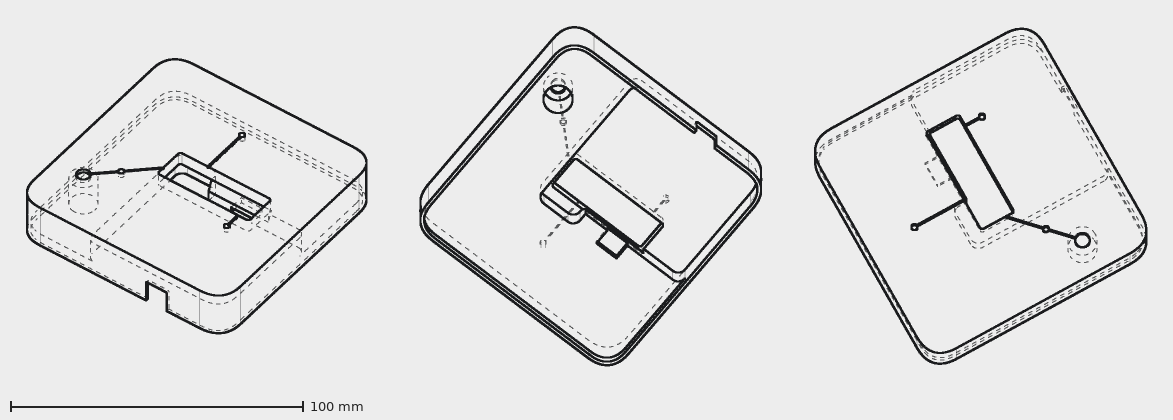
import cadquery as cq
import math

SIDE = 88.0
HEIGHT = 18.0
CORNER_REACH = 10.0
CORNER_HANDLE_RATIO = 0.66
WALL = 1.25
INNER_SIDE = SIDE - 2 * WALL
INNER_EDGE = INNER_SIDE / 2
INNER_REACH = CORNER_REACH - WALL

WINDOW_LEFT = -12.0
WINDOW_RIGHT = 27.0
WINDOW_WIDTH = 13.0
WINDOW_BACK = WINDOW_WIDTH / 2
WINDOW_CORNER_RADIUS = 0.95

COVER_RECESS_DEPTH = 4.0
SHELF_UNDERSIDE = 6.4
CAVITY_CEILING = 12.7
CAVITY_CORNER_RADIUS = 3.0
CAVITY_LEFT = -15.0
CAVITY_BACK = 10.7

SHELF_LEFT = 1.5
RAMP_RUN = 1.8
SHELF_FRONT = WINDOW_BACK - RAMP_RUN
RAMP_FOOT = 8.6

NOTCH_CENTER_X = 15.5
NOTCH_WIDTH = 8.8
NOTCH_LEFT = NOTCH_CENTER_X - NOTCH_WIDTH / 2
NOTCH_RIGHT = NOTCH_LEFT + NOTCH_WIDTH
NOTCH_HEIGHT = 8.8
NOTCH_CORNER_RADIUS = 0.5

PINHOLE_DIAMETER = 2.1
PINHOLE_DEPTH = 2.0
DRILL_POINT_ANGLE = 118.0
PINHOLE_TIP_DEPTH = PINHOLE_DIAMETER / 2 / math.tan(math.radians(DRILL_POINT_ANGLE / 2))
PINHOLE_CIRCLE_RADIUS = 26.0
BACK_PINHOLE, LEFT_PINHOLE, RIGHT_PINHOLE = [
    (
        PINHOLE_CIRCLE_RADIUS * math.cos(math.radians(angle)),
        PINHOLE_CIRCLE_RADIUS * math.sin(math.radians(angle)),
    )
    for angle in (90, 210, 330)
]

HOLE_CENTER = (-32.0, -22.0)
HOLE_DIAMETER = 5.0
COUNTERBORE_DIAMETER = 10.0
HOLE_ROOF = 1.5

GROOVE_WIDTH = 0.4
GROOVE_DEPTH = 0.5


def box(x_min, x_max, y_min, y_max, z_min, z_max):
    """Axis-aligned block between the given limits."""
    size = (x_max - x_min, y_max - y_min, z_max - z_min)
    return cq.Workplane("XY").box(*size, centered=False).translate((x_min, y_min, z_min))


def make_rounded_square(side, reach, height):
    """Square plate centred on the Z axis, with a curve spanning `reach` along both sides of each corner."""
    edge = side / 2
    straight_end = edge - reach
    handle_end = straight_end + reach * CORNER_HANDLE_RATIO
    corner = [
        (edge, straight_end),
        (edge, handle_end),
        (handle_end, edge),
        (straight_end, edge),
    ]
    outline = cq.Workplane("XY").moveTo(edge, -straight_end)
    for _ in range(4):
        outline = outline.lineTo(*corner[0]).bezier(corner[1:], includeCurrent=True)
        corner = [(-y, x) for x, y in corner]
    return outline.close().extrude(height)


def make_body():
    return make_rounded_square(SIDE, CORNER_REACH, HEIGHT)


def make_cover_recess():
    """Shallow recess over the whole underside, inside the outer wall."""
    return make_rounded_square(INNER_SIDE, INNER_REACH, COVER_RECESS_DEPTH)


def make_cavity_pocket(x_max, y_max):
    """Deep pocket with rounded corners, starting from the cavity's front left corner."""
    pocket = box(CAVITY_LEFT, x_max, -INNER_EDGE, y_max, 0, CAVITY_CEILING)
    return pocket.edges("|Z").fillet(CAVITY_CORNER_RADIUS)


def make_cavity():
    """Deep L-shaped cavity that leaves the shelf standing in its rear right corner."""
    beside_shelf = make_cavity_pocket(SHELF_LEFT, CAVITY_BACK)
    before_shelf = make_cavity_pocket(INNER_EDGE, SHELF_FRONT)
    wall_limit = make_rounded_square(INNER_SIDE, INNER_REACH, HEIGHT)
    return beside_shelf.union(before_shelf).intersect(wall_limit)


def make_shelf_bay():
    """Bay under the shelf, in line with the cable notch."""
    return box(NOTCH_LEFT, NOTCH_RIGHT, SHELF_FRONT, CAVITY_BACK, 0, SHELF_UNDERSIDE)


def make_window():
    window = box(WINDOW_LEFT, WINDOW_RIGHT, -WINDOW_BACK, WINDOW_BACK, CAVITY_CEILING, HEIGHT)
    return window.edges("|Z").fillet(WINDOW_CORNER_RADIUS)


def make_ramp():
    """Wedge that slopes the shelf from the window's rear edge down to its front face."""
    profile = [
        (SHELF_FRONT, RAMP_FOOT),
        (WINDOW_BACK, CAVITY_CEILING),
        (SHELF_FRONT, CAVITY_CEILING),
    ]
    wedge = cq.Workplane("YZ").polyline(profile).close().extrude(WINDOW_RIGHT - SHELF_LEFT)
    return wedge.translate((SHELF_LEFT, 0, 0))


def make_notch():
    notch = box(NOTCH_LEFT, NOTCH_RIGHT, -SIDE / 2, -INNER_EDGE, 0, NOTCH_HEIGHT)
    return notch.edges("|Y and >Z").fillet(NOTCH_CORNER_RADIUS)


def make_hole():
    hole = cq.Workplane("XY").center(*HOLE_CENTER).circle(HOLE_DIAMETER / 2).extrude(HEIGHT)
    counterbore = cq.Workplane("XY").center(*HOLE_CENTER).circle(COUNTERBORE_DIAMETER / 2)
    return hole.union(counterbore.extrude(HEIGHT - HOLE_ROOF))


def make_pinhole(center):
    """Blind drilled hole with a conical bottom."""
    radius = PINHOLE_DIAMETER / 2
    bottom = cq.Vector(*center, HEIGHT - PINHOLE_DEPTH)
    shaft = cq.Solid.makeCylinder(radius, PINHOLE_DEPTH, bottom)
    tip = cq.Solid.makeCone(radius, 0, PINHOLE_TIP_DEPTH, bottom, cq.Vector(0, 0, -1))
    return cq.Workplane(shaft).union(cq.Workplane(tip))


def make_groove(start, end):
    """Shallow straight engraving in the top between two points."""
    run_x = end[0] - start[0]
    run_y = end[1] - start[1]
    length = math.hypot(run_x, run_y)
    groove = cq.Workplane("XY").box(length, GROOVE_WIDTH, GROOVE_DEPTH, centered=(False, True, False))
    groove = groove.rotate((0, 0, 0), (0, 0, 1), math.degrees(math.atan2(run_y, run_x)))
    return groove.translate((*start, HEIGHT - GROOVE_DEPTH))


def make_grooves():
    """Grooves from the back and right pinholes, and one from the hole through the left pinhole."""
    slope = (LEFT_PINHOLE[1] - HOLE_CENTER[1]) / (LEFT_PINHOLE[0] - HOLE_CENTER[0])
    end_x = WINDOW_LEFT + GROOVE_WIDTH
    diagonal_end = (end_x, HOLE_CENTER[1] + slope * (end_x - HOLE_CENTER[0]))
    back = make_groove(BACK_PINHOLE, (BACK_PINHOLE[0], WINDOW_BACK))
    right = make_groove(RIGHT_PINHOLE, (RIGHT_PINHOLE[0], -WINDOW_BACK))
    return back.union(right).union(make_groove(HOLE_CENTER, diagonal_end))


result = make_body()
for cutter in (
    make_cover_recess(),
    make_cavity(),
    make_shelf_bay(),
    make_window(),
    make_ramp(),
    make_notch(),
    make_hole(),
    make_grooves(),
):
    result = result.cut(cutter)
for pinhole_center in (BACK_PINHOLE, LEFT_PINHOLE, RIGHT_PINHOLE):
    result = result.cut(make_pinhole(pinhole_center))